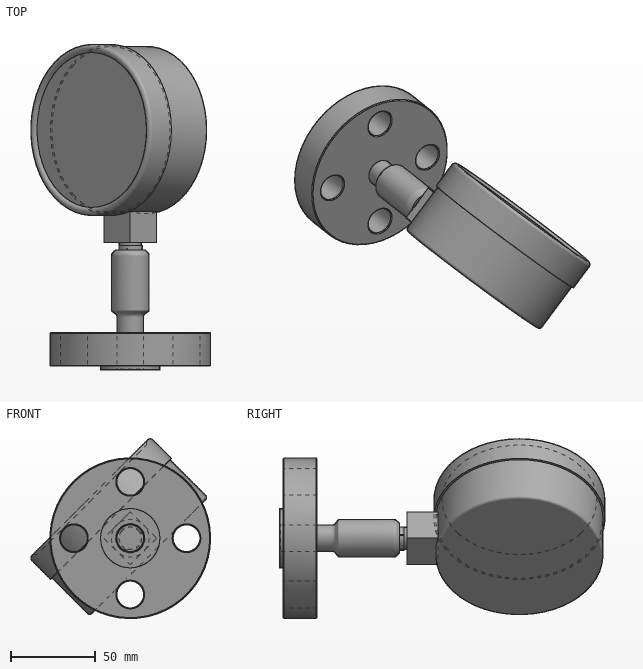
import cadquery as cq
import math


flange_radius = 47.5
raised_face_radius = 17.5
raised_face_height = 2.1
flange_back_y = 22.1
flange_edge_chamfer = 0.5
bolt_count = 4
bolt_circle_radius = 33.3
bolt_hole_radius = 7.9
port_radius = 7.9
port_depth = 2.3
hole_chamfer = 0.5

neck_radius = 7.9
neck_top_y = 32.3
body_radius = 11.2
body_bottom_y = 34.8
body_top_y = 68.5
shoulder_radius = 8.7
neck_fillet = 1.7
body_bottom_fillet = 0.8
body_top_fillet = 2.5
stub_radius = 6.5
collar_radius = 6.7
collar_top_y = 73.5
collar_reach = 3.5

block_side = 22.1
block_bottom_y = 75.3

overall_length = 192.5
bezel_radius = 50.6
case_radius = 49.5
case_center_y = overall_length - bezel_radius
case_back = -15.4
case_back_fillet = 1.5
bezel_back = 16.2
rim_start = 32.0
rim_round = 2.0
dial_radius = 45.8
dial_level = 32.1
dial_bevel = 0.5
dial_tilt = -45


def along_y(radius, start, end):
    """Cylinder on the Y axis between two Y positions."""
    return cq.Workplane("XZ", origin=(0, start, 0)).circle(radius).extrude(start - end)


def flared_hole(radius, mouth, end):
    """Cutter on the Y axis for a hole that is chamfered at its mouth."""
    flare_end = mouth + math.copysign(hole_chamfer, end - mouth)
    return (
        cq.Workplane("XY")
        .moveTo(0, mouth)
        .lineTo(radius + hole_chamfer, mouth)
        .lineTo(radius, flare_end)
        .lineTo(radius, end)
        .lineTo(0, end)
        .close()
        .revolve(360, (0, 0, 0), (0, 1, 0))
    )


def make_flange():
    disc = along_y(flange_radius, raised_face_height, flange_back_y).edges().chamfer(flange_edge_chamfer)
    disc = disc.union(along_y(raised_face_radius, 0, flange_back_y))
    bolt_hole = flared_hole(bolt_hole_radius, raised_face_height, flange_back_y).union(
        flared_hole(bolt_hole_radius, flange_back_y, raised_face_height)
    )
    for index in range(bolt_count):
        angle = index * 360 / bolt_count
        placed_hole = bolt_hole.translate((bolt_circle_radius, 0, 0)).rotate((0, 0, 0), (0, 1, 0), angle)
        disc = disc.cut(placed_hole)
    return disc.cut(flared_hole(port_radius, 0, port_depth))


def make_stem():
    """Neck and body with conical ends, turned as one profile, below a stub with a collar."""
    shoulder_y = body_top_y + (body_radius - shoulder_radius)
    stem = (
        cq.Workplane("XY")
        .moveTo(0, raised_face_height)
        .lineTo(neck_radius, raised_face_height)
        .lineTo(neck_radius, neck_top_y)
        .lineTo(body_radius, body_bottom_y)
        .lineTo(body_radius, body_top_y)
        .lineTo(shoulder_radius, shoulder_y)
        .lineTo(0, shoulder_y)
        .close()
        .revolve(360, (0, 0, 0), (0, 1, 0))
    )
    rounded_edges = (
        (neck_top_y, neck_fillet),
        (body_bottom_y, body_bottom_fillet),
        (body_top_y, body_top_fillet),
    )
    for edge_y, radius in rounded_edges:
        stem = stem.edges(cq.NearestToPointSelector((0, edge_y, 0))).fillet(radius)
    collar_back = (
        cq.Workplane("XY")
        .box(2 * collar_radius, collar_top_y - shoulder_y, collar_reach, centered=(True, False, False))
        .translate((0, shoulder_y, -collar_reach))
        .rotate((0, 0, 0), (0, 1, 0), dial_tilt)
    )
    collar = along_y(collar_radius, shoulder_y, collar_top_y).union(collar_back)
    stub = along_y(stub_radius, shoulder_y, block_bottom_y)
    return stem.union(stub).union(collar)


def make_block():
    block = cq.Workplane("XY").box(
        block_side, case_center_y - block_bottom_y, block_side, centered=(True, False, True)
    )
    return block.translate((0, block_bottom_y, 0)).rotate((0, 0, 0), (0, 1, 0), dial_tilt)


def make_case():
    """Case, bezel with a rounded rim and bevelled recess for the dial, turned about Z and then tilted."""
    rim_inner_radius = dial_radius + dial_bevel
    rim_inner_level = dial_level + dial_bevel
    rim_middle_radius = bezel_radius - rim_round
    case = (
        cq.Workplane("XZ")
        .moveTo(0, case_back)
        .lineTo(case_radius, case_back)
        .lineTo(case_radius, bezel_back)
        .lineTo(bezel_radius, bezel_back)
        .lineTo(bezel_radius, rim_start)
        .threePointArc((rim_middle_radius, rim_start + rim_round), (rim_inner_radius, rim_inner_level))
        .lineTo(dial_radius, dial_level)
        .lineTo(0, dial_level)
        .close()
        .revolve(360, (0, 0, 0), (0, 1, 0))
        .faces("<Z")
        .edges()
        .fillet(case_back_fillet)
    )
    return case.translate((0, case_center_y, 0)).rotate((0, 0, 0), (0, 1, 0), dial_tilt)


result = make_flange().union(make_stem()).union(make_block()).union(make_case())